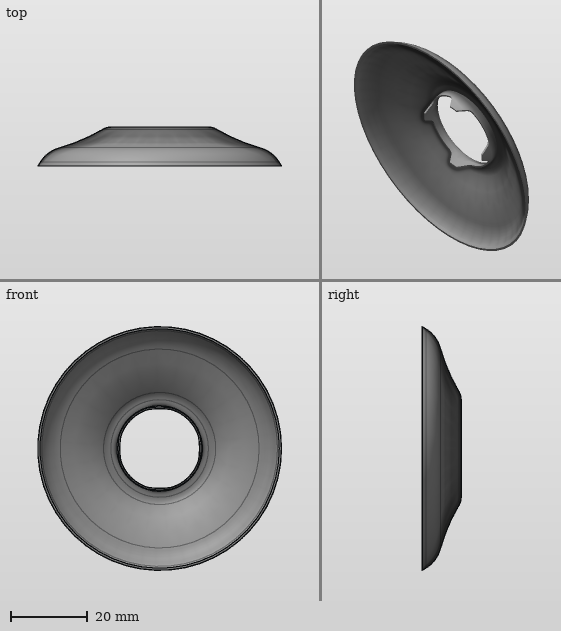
import cadquery as cq
import math

rim_radius = 31.75
height = 10.15
sheet = 0.5
lip_radius = 31.1
lip_y = 1.0
shoulder_radius = 26.05
shoulder_y = 4.75
shoulder_slope = 16.0
crown_radius = 14.85
crown_y = 9.5
flat_radius = 12.7

collar_root_radius = 11.2
collar_tip_radius = 10.8
collar_wall = 0.45
bore_fillet = 0.65
collar_y = 7.6
tab_y = 4.7
tab_tip_width = 2.4
tab_root_width = 6.65
tab_root_fillet = 1.9
envelope_margin = 0.65
selection_margin = 0.05


def unit_direction(degrees):
    """Direction climbing toward the axis at the given slope."""
    angle = math.radians(degrees)
    return (-math.cos(angle), math.sin(angle))


def chord_slope(start, end):
    return math.degrees(math.atan2(end[1] - start[1], start[0] - end[0]))


def inward(point, slope):
    """Matching point on the inner face, one sheet thickness away."""
    along = unit_direction(slope)
    return (point[0] - sheet * along[1], point[1] + sheet * along[0])


def arc_middle(start, end, start_slope):
    """Middle point of the arc leaving start at the given slope."""
    chord = math.dist(start, end)
    turn = math.radians(start_slope - chord_slope(start, end))
    rise = chord / 2 * math.tan(turn / 2)
    along = unit_direction(chord_slope(start, end))
    return (
        (start[0] + end[0]) / 2 + rise * along[1],
        (start[1] + end[1]) / 2 - rise * along[0],
    )


def make_dish():
    rim = (rim_radius, 0)
    lip = (lip_radius, lip_y)
    shoulder = (shoulder_radius, shoulder_y)
    crown = (crown_radius, crown_y)
    flat = (flat_radius, height)
    bore = collar_root_radius - collar_wall

    lip_slope = chord_slope(rim, lip)
    flank_slope = 2 * chord_slope(shoulder, crown) - shoulder_slope
    crown_slope = 2 * chord_slope(crown, flat)
    inner_rim = (rim_radius - sheet / math.sin(math.radians(lip_slope)), 0)

    profile = (
        cq.Workplane("XY")
        .moveTo(*rim)
        .lineTo(*lip)
        .tangentArcPoint(shoulder, relative=False)
        .threePointArc(arc_middle(shoulder, crown, shoulder_slope), crown)
        .threePointArc(arc_middle(crown, flat, crown_slope), flat)
        .lineTo(bore, height)
        .lineTo(bore, height - sheet)
    )
    inner_flat = inward(flat, 0)
    inner_crown = inward(crown, flank_slope)
    inner_shoulder = inward(shoulder, shoulder_slope)
    inner_lip = inward(lip, lip_slope)
    inner_crown_slope = 2 * chord_slope(inner_crown, inner_flat)
    return (
        profile.lineTo(*inner_flat)
        .threePointArc(arc_middle(inner_crown, inner_flat, inner_crown_slope), inner_crown)
        .threePointArc(arc_middle(inner_shoulder, inner_crown, shoulder_slope), inner_shoulder)
        .threePointArc(arc_middle(inner_lip, inner_shoulder, lip_slope), inner_lip)
        .lineTo(*inner_rim)
        .close()
        .revolve(360, (0, 0, 0), (0, 1, 0))
    )


def make_collar_tube():
    return (
        cq.Workplane("XY")
        .polyline([
            (collar_root_radius, height - sheet / 2),
            (collar_tip_radius, tab_y),
            (collar_tip_radius - collar_wall, tab_y),
            (collar_root_radius - collar_wall, height - sheet / 2),
        ])
        .close()
        .revolve(360, (0, 0, 0), (0, 1, 0))
    )


def make_tab_envelope():
    """Prism along Z whose edge outlines two opposite tabs and the collar between."""
    half_length = collar_root_radius + envelope_margin
    return (
        cq.Workplane("XY")
        .polyline([
            (-half_length, height),
            (-half_length, collar_y),
            (-tab_root_width / 2, collar_y),
            (-tab_tip_width / 2, tab_y),
            (tab_tip_width / 2, tab_y),
            (tab_root_width / 2, collar_y),
            (half_length, collar_y),
            (half_length, height),
        ])
        .close()
        .extrude(half_length, both=True)
        .edges(cq.selectors.BoxSelector(
            (-tab_root_width, collar_y - selection_margin, -half_length),
            (tab_root_width, collar_y + selection_margin, half_length),
        ))
        .edges("|Z")
        .fillet(tab_root_fillet)
    )


tab_envelope = make_tab_envelope()
crossed_envelopes = tab_envelope.union(tab_envelope.rotate((0, 0, 0), (0, 1, 0), 90))
collar = make_collar_tube().intersect(crossed_envelopes)
body = make_dish().union(collar)
bore_mouth = cq.selectors.RadiusNthSelector(0)
result = body.faces(">Y").edges(bore_mouth).fillet(bore_fillet)